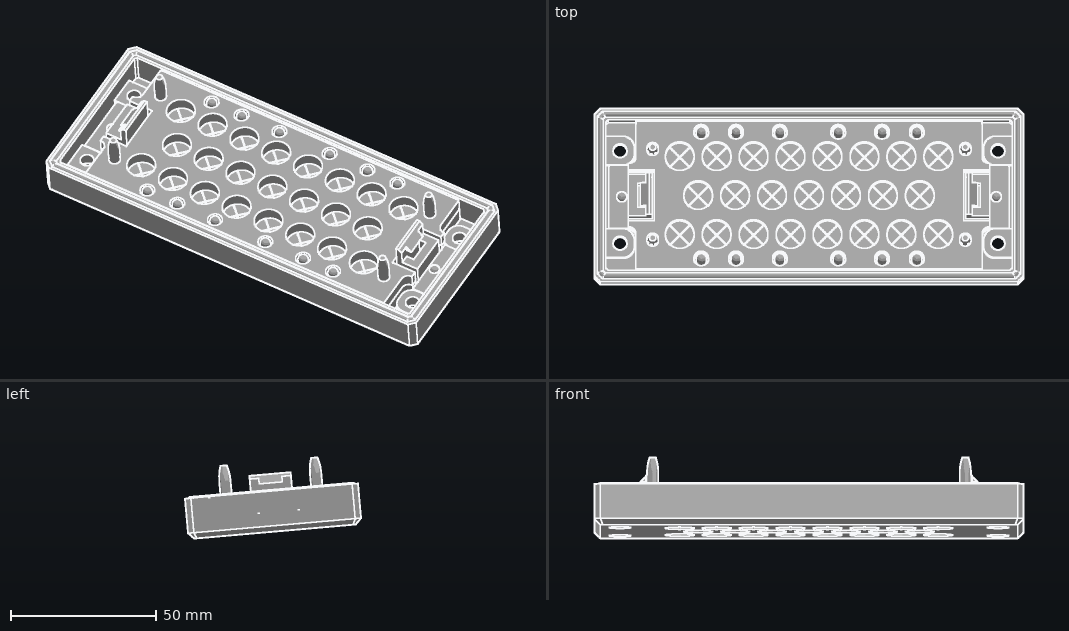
import cadquery as cq
import math

TILT = 5

LENGTH = 148.0
WIDTH = 60.0
HEIGHT = 14.0
EDGE_CHAMFER = 2.0
WALL = 4.0
FLOOR = 3.0
INNER_CORNER = 0.7

CORD_DIA = 2.0
CORD_RISE = 0.5
CORD_CORNER = 1.3
CORD_INSET = WALL / 2
CORD_BOTTOM = HEIGHT + CORD_RISE - CORD_DIA

MOUNT_X = 65.1
MOUNT_Y = 16.0
MOUNT_DIA = 4.7
MOUNT_HEAD_DIA = 7.5
MOUNT_HEAD_DEPTH = 1.9
BOSS_SIZE = 9.9
BOSS_CORNER_RADIUS = 3.8
BOSS_TOP = 6.7

PLATE_TOP = 13.6
PLATE_CLEARANCE = 0.5
PLATE_SPLIT = 8.7
PLATE_END_X = 59.6
PLATE_TONGUE_X = 62.3
TONGUE_HALF_WIDTH = 11.0
PLATE_CORNER_RADIUS = 2.5

CELL_DIA = 9.9
CELL_PITCH = 12.7
ROW_PITCH = 13.5
OUTER_ROW_CELLS = 8
MIDDLE_ROW_CELLS = 7
SLIT_WIDTH = 0.22

PIN_DIA = 3.5
PIN_ROUNDING = 1.5
PIN_HOLE_DIA = 5.0
PIN_TOP = 14.5
PIN_X = (10.0, 25.2, 37.1)
PIN_Y = 21.9

PEG_X = 53.9
PEG_Y = 15.7
PEG_DIA = 4.0
PEG_TIP_DIA = 2.2
PEG_TIP_BULGE = 0.22
PEG_SHOULDER = 19.0
PEG_TOP = 24.3

CLIP_WIDTH = 14.4
CLIP_POCKET_WIDTH = 17.6
CLIP_POCKET_X = 53.3
ARM_BACK_X = 54.0
ARM_FRONT_X = 56.2
ARM_TOP = 20.0
ARM_TOP_THICKNESS = 1.0
LIP_WIDTH = 8.0
LIP_REACH = 1.9
NOTCH_WIDTH = 8.3
NOTCH_DEPTH = 2.8
FOOT_OUTER_X = 69.0
FOOT_TOP = 6.8
FOOT_PIN_X = 64.5
FOOT_PIN_TOP = 8.0

CAVITY_LENGTH = LENGTH - 2 * WALL
CAVITY_WIDTH = WIDTH - 2 * WALL
SIDES = (-1, 1)
MOUNT_POINTS = [(sx * MOUNT_X, sy * MOUNT_Y) for sx in SIDES for sy in SIDES]
PEG_POINTS = [(sx * PEG_X, sy * PEG_Y) for sx in SIDES for sy in SIDES]
PIN_POINTS = [(sx * x, sy * PIN_Y) for x in PIN_X for sx in SIDES for sy in SIDES]
FOOT_PIN_POINTS = [(sx * FOOT_PIN_X, 0) for sx in SIDES]


def row_points(count, y):
    return [((i - (count - 1) / 2) * CELL_PITCH, y) for i in range(count)]


CELL_POINTS = (
    row_points(OUTER_ROW_CELLS, ROW_PITCH)
    + row_points(MIDDLE_ROW_CELLS, 0)
    + row_points(OUTER_ROW_CELLS, -ROW_PITCH)
)


def block(x0, x1, width, z0, z1):
    """Box between two X and two Z positions, centred on Y = 0."""
    return cq.Workplane("XY").box(x1 - x0, width, z1 - z0, centered=(False, True, False)).translate((x0, 0, z0))


def rods(points, diameter, z0, z1):
    """Upright cylinders at the given points."""
    return cq.Workplane("XY").workplane(offset=z0).pushPoints(points).circle(diameter / 2).extrude(z1 - z0)


def round_pins(points, top):
    """Pins rising from the tray floor to a rounded head."""
    return rods(points, PIN_DIA, FLOOR / 2, top).faces(">Z").edges().fillet(PIN_ROUNDING)


def cord_outline(shift):
    """Closed outline with cut corners along the middle of the rim, shifted outwards by the given amount."""
    half_length = LENGTH / 2 - CORD_INSET + shift
    half_width = WIDTH / 2 - CORD_INSET + shift
    corner = CORD_CORNER + shift * (2 - math.sqrt(2))
    return cq.Workplane("XY").polyline(
        [
            (0, -half_width),
            (half_length - corner, -half_width),
            (half_length, corner - half_width),
            (half_length, half_width - corner),
            (half_length - corner, half_width),
            (corner - half_length, half_width),
            (-half_length, half_width - corner),
            (-half_length, corner - half_width),
            (corner - half_length, -half_width),
        ]
    ).close()


def make_cord():
    """Round cord running along the rim."""
    middle = WIDTH / 2 - CORD_INSET
    section = cq.Workplane("YZ").center(-middle, 0).circle(CORD_DIA / 2)
    cord = section.sweep(cord_outline(0), transition="right")
    return cord.translate((0, 0, CORD_BOTTOM + CORD_DIA / 2))


def make_cord_groove():
    """Square-bottomed groove as wide as the cord."""
    groove = cord_outline(CORD_DIA / 2).extrude(CORD_DIA)
    groove = groove.cut(cord_outline(-CORD_DIA / 2).extrude(CORD_DIA))
    return groove.translate((0, 0, CORD_BOTTOM))


def make_tray():
    tray = cq.Workplane("XY").box(LENGTH, WIDTH, HEIGHT, centered=(True, True, False))
    tray = tray.edges("|Z").chamfer(EDGE_CHAMFER).faces("<Z").chamfer(EDGE_CHAMFER)
    cavity = block(-CAVITY_LENGTH / 2, CAVITY_LENGTH / 2, CAVITY_WIDTH, FLOOR, HEIGHT)
    cavity = cavity.edges("|Z").chamfer(INNER_CORNER)
    tray = tray.cut(cavity).cut(make_cord_groove())

    boss_length = LENGTH / 2 - WALL - MOUNT_X + BOSS_SIZE / 2
    boss_x = LENGTH / 2 - WALL - boss_length / 2
    boss_points = [(sx * boss_x, sy * MOUNT_Y) for sx in SIDES for sy in SIDES]
    bosses = (
        cq.Workplane("XY").workplane(offset=FLOOR).pushPoints(boss_points).rect(boss_length, BOSS_SIZE)
        .extrude(BOSS_TOP - FLOOR)
    )
    inner_half = cq.selectors.BoxSelector((-boss_x, -WIDTH, 0), (boss_x, WIDTH, HEIGHT))
    bosses = bosses.edges("|Z").edges(inner_half).fillet(BOSS_CORNER_RADIUS)
    tray = tray.union(bosses)
    tray = tray.cut(rods(MOUNT_POINTS, MOUNT_DIA, 0, BOSS_TOP))
    tray = tray.cut(rods(MOUNT_POINTS, MOUNT_HEAD_DIA, 0, MOUNT_HEAD_DEPTH))

    tray = tray.cut(rods(CELL_POINTS, CELL_DIA, 0, FLOOR))
    tray = tray.union(round_pins(PIN_POINTS, PIN_TOP))
    return tray.union(round_pins(FOOT_PIN_POINTS, FOOT_PIN_TOP))


def make_plate(z0, z1):
    """Plate filling the cavity between the mounting bosses, with a pocket at each end for a clip."""
    plate = block(-PLATE_END_X, PLATE_END_X, CAVITY_WIDTH - 2 * PLATE_CLEARANCE, z0, z1)
    plate = plate.union(block(-PLATE_TONGUE_X, PLATE_TONGUE_X, 2 * TONGUE_HALF_WIDTH, z0, z1))
    notch_corners = cq.selectors.BoxSelector(
        (-PLATE_END_X - 0.1, -TONGUE_HALF_WIDTH - 0.1, z0 - 1.5), (PLATE_END_X + 0.1, TONGUE_HALF_WIDTH + 0.1, z1 + 1.5)
    )
    plate = plate.edges("|Z").edges(notch_corners).fillet(PLATE_CORNER_RADIUS)
    plate = plate.cut(rods(PIN_POINTS, PIN_HOLE_DIA, z0, z1))
    plate = plate.cut(block(CLIP_POCKET_X, PLATE_TONGUE_X, CLIP_POCKET_WIDTH, z0, z1))
    return plate.cut(block(-PLATE_TONGUE_X, -CLIP_POCKET_X, CLIP_POCKET_WIDTH, z0, z1))


def make_upper_plate():
    plate = make_plate(PLATE_SPLIT, PLATE_TOP)
    plate = plate.cut(rods(CELL_POINTS, CELL_DIA, PLATE_SPLIT, PLATE_TOP))
    return plate.cut(rods(PEG_POINTS, PEG_DIA, PLATE_SPLIT, PLATE_TOP))


def make_lower_plate():
    """Lower plate with a crossed pair of thin slits under every cell."""
    plate = make_plate(FLOOR, PLATE_SPLIT)
    for angle in (45, -45):
        slits = (
            cq.Workplane("XY")
            .workplane(offset=FLOOR)
            .pushPoints(CELL_POINTS)
            .slot2D(CELL_DIA, SLIT_WIDTH, angle)
            .extrude(PLATE_SPLIT - FLOOR)
        )
        plate = plate.cut(slits)
    return plate


def make_peg(x, y):
    """Peg standing in the upper plate, with a tapered, slightly bulging tip."""
    tip_middle = ((PEG_DIA + PEG_TIP_DIA) / 4 + PEG_TIP_BULGE, (PEG_SHOULDER + PEG_TOP) / 2)
    return (
        cq.Workplane("XZ")
        .moveTo(0, PLATE_SPLIT)
        .lineTo(PEG_DIA / 2, PLATE_SPLIT)
        .lineTo(PEG_DIA / 2, PEG_SHOULDER)
        .threePointArc(tip_middle, (PEG_TIP_DIA / 2, PEG_TOP))
        .lineTo(0, PEG_TOP)
        .close()
        .revolve(360, (0, 0, 0), (0, 1, 0))
        .translate((x, y, 0))
    )


def make_clip(angle):
    """Snap clip of the +X end, turned about Z: foot, notched block and hooked arm."""
    clip = block(PLATE_TONGUE_X, FOOT_OUTER_X, 2 * TONGUE_HALF_WIDTH, FLOOR, FOOT_TOP)
    clip = clip.cut(rods([(FOOT_PIN_X, 0)], PIN_DIA, FLOOR, FOOT_TOP))
    clip = clip.union(block(ARM_FRONT_X, PLATE_TONGUE_X, CLIP_WIDTH, FLOOR, PLATE_TOP))
    clip = clip.cut(block(ARM_FRONT_X, ARM_FRONT_X + NOTCH_DEPTH, NOTCH_WIDTH, FLOOR, PLATE_TOP))

    ramp = ARM_FRONT_X - ARM_BACK_X - ARM_TOP_THICKNESS
    arm = block(ARM_BACK_X, ARM_FRONT_X, CLIP_WIDTH, FLOOR, ARM_TOP).edges(">X and >Z").chamfer(ramp)
    lip = (
        cq.Workplane("XZ")
        .moveTo(ARM_FRONT_X, ARM_TOP - ramp)
        .lineTo(ARM_FRONT_X + LIP_REACH, ARM_TOP - ramp - LIP_REACH)
        .lineTo(ARM_FRONT_X, ARM_TOP - ramp - LIP_REACH)
        .close()
        .extrude(LIP_WIDTH / 2, both=True)
    )
    clip = clip.union(arm).union(lip)
    return clip.rotate((0, 0, 0), (0, 0, 1), angle)


cord = make_cord()
tray = make_tray()
upper_plate = make_upper_plate()
lower_plate = make_lower_plate()
pegs = [make_peg(x, y) for x, y in PEG_POINTS]
clips = [make_clip(angle) for angle in (0, 180)]

bodies = [tray, cord, upper_plate, lower_plate, *pegs, *clips]
result = cq.Compound.makeCompound(
    [body.val().rotate(cq.Vector(0, 0, 0), cq.Vector(1, 0, 0), -TILT) for body in bodies]
)